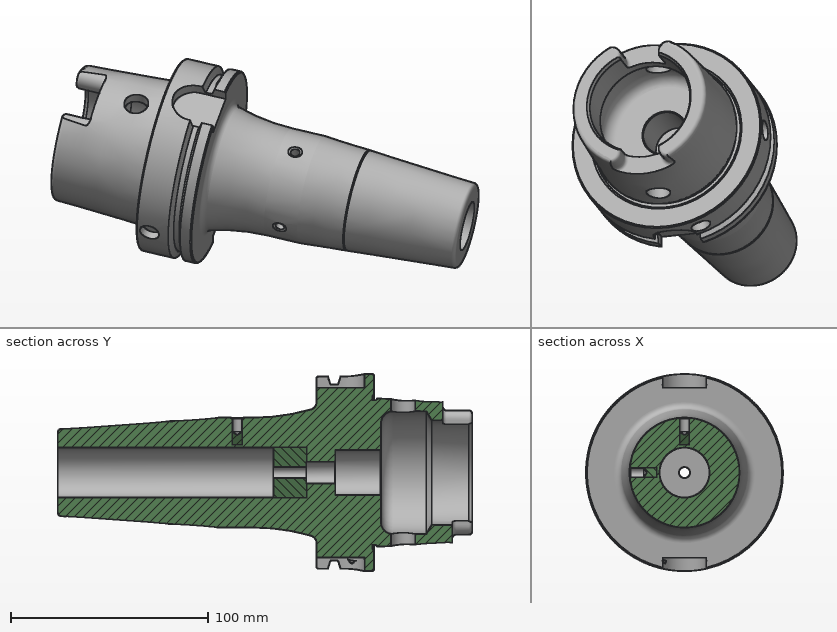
import cadquery as cq
import math

total_length = 210.0
flange_radius = 50.0
flange_start = 49.8
flange_width = 29.2
flange_end = flange_start + flange_width
edge_break = 0.6

shank_end_radius = 35.0
shank_round = 2.0
taper_end = 47.0
taper_end_radius = 37.5
relief_start = 48.0
relief_depth = 0.8
face_groove_depth = 0.8
face_groove_floor_radius = 38.6
face_groove_mouth_radius = 39.7

groove_center = 70.0
groove_floor_radius = 46.0
groove_floor_half_width = 1.9
groove_fillet = 0.6
groove_mouth_half_width = 3.2

neck_radius = 28.0
neck_fillet = 3.8
flare_radius = 105.0
flare_end = 110.9
neck_end = 128.3
nose_end_radius = 22.0
nose_round = 1.9
mark_start = 152.0
mark_width = 0.6
mark_depth = 0.2

bore_radius = 26.5
bore_chamfer = 1.0
bore_chamfer_length = 1.9
undercut_start = 20.5
undercut_slope_end = 23.3
undercut_radius = 31.0
bore_floor = 46.2
bore_floor_fillet = 6.0
thread_radius = 11.3
thread_end = 69.3
passage_radius = 5.5
passage_end = 84.0
bore_mouth_chamfer = 0.5
tool_bore_radius = 12.5

slot_half_width = 10.0
slot_depth_top = 15.0
slot_depth_bottom = 10.0
land_corner_radius = 4.8
land_corner_height = 31.5
land_round = 1.7
slot_root_fillet = 1.9

cross_hole_x = 35.0
cross_hole_radius = 6.0

keyway_start = 54.5
keyway_half_width = 11.1
keyway_floor = 43.0
chip_hole_x = 57.0
chip_hole_radius = 5.0
chip_hole_depth = 4.6
notch_x = 59.0
notch_angle = 72.0

screw_x = 119.0
screw_radius = 2.3
screw_length = 6.3
screw_sink = 7.4
screw_mouth_radius = 3.5
screw_mouth_half_angle = 60.0
screw_tip = 1.5
screw_angles = (0, 90)

stop_length = 16.8
stop_hole_radius = 2.7

pick_margin = 0.2


def cylinder_x(start, end, radius):
    return cq.Workplane("YZ", origin=(start, 0, 0)).circle(radius).extrude(end - start)


def cone_x(start, start_radius, end, end_radius):
    """A cone frustum about the X axis."""
    outline = [(start, 0), (start, start_radius), (end, end_radius), (end, 0)]
    return cq.Workplane("XY").polyline(outline).close().revolve(360, (0, 0), (1, 0))


def upright_cylinder(x, bottom, top, radius):
    return cq.Workplane("XY", origin=(x, 0, bottom)).circle(radius).extrude(top - bottom)


def turn(shape, angle):
    """Turn a shape from the +Z side about the tool axis."""
    return shape.rotate((0, 0, 0), (1, 0, 0), angle)


def make_blank():
    """The solid of revolution, with a small fillet running into the long flare of the neck."""
    relief_radius = taper_end_radius - relief_depth
    face_groove_floor = flange_start + face_groove_depth
    flare_center_radius = neck_radius + flare_radius
    fillet_center_x = flange_end + neck_fillet
    center_run = flare_end - fillet_center_x
    center_rise = math.sqrt((flare_radius - neck_fillet) ** 2 - center_run**2)
    fillet_center_radius = flare_center_radius - center_rise
    joint_angle = math.atan2(center_rise, center_run)

    def flare_point(angle):
        return (
            flare_end - flare_radius * math.cos(angle),
            flare_center_radius - flare_radius * math.sin(angle),
        )

    def fillet_point(angle):
        return (
            fillet_center_x - neck_fillet * math.cos(angle),
            fillet_center_radius - neck_fillet * math.sin(angle),
        )

    outline = (
        cq.Workplane("XY")
        .lineTo(0, shank_end_radius)
        .lineTo(taper_end, taper_end_radius)
        .lineTo(relief_start, taper_end_radius)
        .lineTo(relief_start + relief_depth, relief_radius)
        .lineTo(face_groove_floor, relief_radius)
        .lineTo(face_groove_floor, face_groove_floor_radius)
        .lineTo(flange_start, face_groove_mouth_radius)
        .lineTo(flange_start, flange_radius - edge_break)
        .lineTo(flange_start + edge_break, flange_radius)
        .lineTo(groove_center - groove_mouth_half_width, flange_radius)
        .lineTo(groove_center - groove_floor_half_width, groove_floor_radius)
        .lineTo(groove_center + groove_floor_half_width, groove_floor_radius)
        .lineTo(groove_center + groove_mouth_half_width, flange_radius)
        .lineTo(flange_end - edge_break, flange_radius)
        .lineTo(flange_end, flange_radius - edge_break)
        .lineTo(flange_end, fillet_center_radius)
        .threePointArc(fillet_point(joint_angle / 2), fillet_point(joint_angle))
        .threePointArc(flare_point((joint_angle + math.pi / 2) / 2), (flare_end, neck_radius))
        .lineTo(neck_end, neck_radius)
        .lineTo(total_length, nose_end_radius)
        .lineTo(total_length, 0)
        .close()
    )
    blank = outline.revolve(360, (0, 0), (1, 0))
    groove_floor_edges = blank.edges(
        cq.selectors.BoxSelector(
            (groove_center - groove_mouth_half_width + pick_margin, -2, -2),
            (groove_center + groove_mouth_half_width - pick_margin, 2, 2),
        )
    )
    blank = groove_floor_edges.fillet(groove_fillet)
    return blank.faces(">X").edges().fillet(nose_round)


def make_mark_groove():
    """The fine line turned into the nose cone."""
    cone_slope = (neck_radius - nose_end_radius) / (total_length - neck_end)
    floor_radius = neck_radius - cone_slope * (mark_start - neck_end) - mark_depth
    mark_end = mark_start + mark_width
    return cylinder_x(mark_start, mark_end, flange_radius).cut(
        cylinder_x(mark_start, mark_end, floor_radius)
    )


def make_drive_slot(depth):
    """A +Z slot that widens outward round the corners of the drive lands."""
    inner_z = bore_radius / 2
    narrow = cq.Workplane("XY").box(
        depth, 2 * slot_half_width, flange_radius - inner_z, centered=(False, True, False)
    ).translate((0, 0, inner_z))
    wide = cq.Workplane("XY").box(
        depth, 2 * flange_radius, flange_radius, centered=(False, True, False)
    ).translate((0, 0, land_corner_height))
    slot = narrow.union(wide)
    corners = slot.edges(
        cq.selectors.BoxSelector(
            (-2, -slot_half_width - pick_margin, land_corner_height - pick_margin),
            (depth + 2, slot_half_width + pick_margin, land_corner_height + pick_margin),
        )
    ).edges("|X")
    return corners.fillet(land_corner_radius).faces(">X").edges().fillet(slot_root_fillet)


def cut_drive_slots(body):
    """Cut both slots, then round the front edges along the walls, corners and rims of the lands."""
    rounded = body.faces("<X").edges().fillet(shank_round)
    body = body.cut(make_drive_slot(slot_depth_top))
    body = body.cut(turn(make_drive_slot(slot_depth_bottom), 180))
    corner_end = slot_half_width + land_corner_radius
    wall_edges = body.faces("<X").edges().filter(
        lambda edge: slot_half_width / 2 < abs(edge.Center().y) < corner_end
    )
    return wall_edges.fillet(land_round).intersect(rounded)


def make_bores():
    """The undercut hollow of the shank, the coolant thread, the narrow passage and the tool bore."""
    bores = cylinder_x(0, undercut_start, bore_radius)
    bores = bores.union(cone_x(0, bore_radius + bore_chamfer, bore_chamfer_length, bore_radius))
    bores = bores.union(
        cone_x(undercut_start, bore_radius, undercut_slope_end, undercut_radius)
    )
    undercut = cylinder_x(undercut_slope_end, bore_floor, undercut_radius)
    bores = bores.union(undercut.faces(">X").edges().fillet(bore_floor_fillet))
    for start, end, radius in (
        (bore_floor, thread_end, thread_radius),
        (thread_end, passage_end, passage_radius),
    ):
        bores = bores.union(cylinder_x(start, end, radius))
        bores = bores.union(
            cone_x(start, radius + bore_mouth_chamfer, start + bore_mouth_chamfer, radius)
        )
    return bores.union(cylinder_x(passage_end, total_length, tool_bore_radius))


def make_keyway():
    """A +Z keyway with a round end, open toward the neck."""
    round_center = keyway_start + keyway_half_width
    round_end = upright_cylinder(round_center, keyway_floor, 2 * flange_radius, keyway_half_width)
    run = cq.Workplane("XY", origin=(round_center, 0, keyway_floor)).box(
        flange_end - round_center, 2 * keyway_half_width, flange_radius, centered=(False, True, False)
    )
    return round_end.union(run)


def make_screw_hole():
    """A +Z blind hole with a countersunk mouth that takes one balancing screw."""
    bottom = neck_radius - screw_sink - screw_length
    hole = upright_cylinder(screw_x, bottom, flange_radius, screw_radius)
    mouth_slope = math.tan(math.radians(screw_mouth_half_angle))
    sink_depth = (screw_mouth_radius - screw_radius) / mouth_slope
    mouth = (
        cq.Workplane("XY", origin=(screw_x, 0, neck_radius - sink_depth))
        .circle(screw_radius)
        .workplane(offset=sink_depth)
        .circle(screw_mouth_radius)
        .loft()
    )
    return hole.union(mouth)


def make_holder():
    holder = make_blank().cut(make_mark_groove())
    holder = cut_drive_slots(holder).cut(make_bores())
    holder = holder.cut(
        upright_cylinder(cross_hole_x, -flange_radius, flange_radius, cross_hole_radius)
    )
    for angle in (0, 180):
        holder = holder.cut(turn(make_keyway(), angle))
    for x, angle in ((chip_hole_x, 90), (notch_x, 90 + notch_angle)):
        recess = upright_cylinder(
            x, flange_radius - chip_hole_depth, flange_radius + 2, chip_hole_radius
        )
        holder = holder.cut(turn(recess, angle))
    for angle in screw_angles:
        holder = holder.cut(turn(make_screw_hole(), angle))
    return holder


def make_screw():
    """A +Z balancing screw with a conical dimple, sunk below the neck surface."""
    top = neck_radius - screw_sink
    body = upright_cylinder(screw_x, top - screw_length, top, screw_radius)
    dimple = cq.Solid.makeCone(
        0, screw_radius, screw_tip, cq.Vector(screw_x, 0, top - screw_tip), cq.Vector(0, 0, 1)
    )
    return body.cut(cq.Workplane(obj=dimple))


def make_stop_screw():
    """A bored screw that fills the tool bore next to the passage."""
    stop_end = passage_end + stop_length
    screw = cylinder_x(passage_end, stop_end, tool_bore_radius)
    return screw.cut(cylinder_x(passage_end, stop_end, stop_hole_radius))


holder = make_holder()
stop_screw = make_stop_screw()
screws = [turn(make_screw(), angle) for angle in screw_angles]
result = cq.Compound.makeCompound(
    [holder.val(), stop_screw.val(), *[screw.val() for screw in screws]]
)